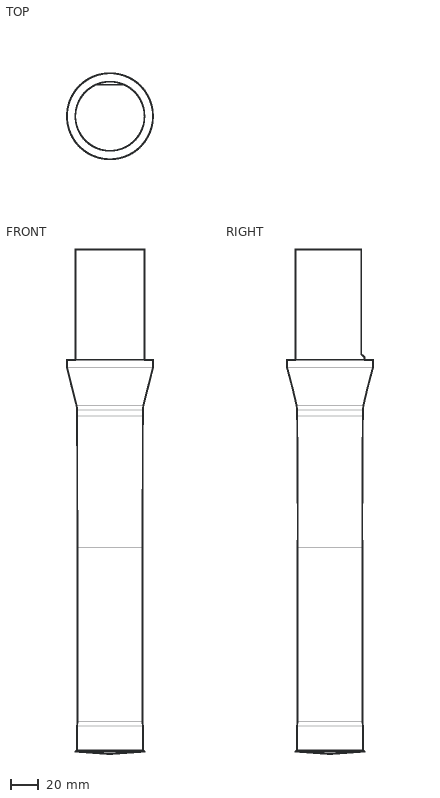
import cadquery as cq

total_length = 366.0
shank_length = 80.0
flange_height = 5.5
cone_height = 29.0
neck_height = 6.2
taper_end_height = 150.0
land_taper_top = 23.8
land_top = 20.5

shank_diameter = 50.0
flange_diameter = 62.5
body_diameter = 48.0
relief_diameter = 47.2

flat_offset = 22.7
flat_start = 4.0
ramp_rise = 2.2

tip_diameter = 50.0
tip_height = 3.0
tip_edge_height = 2.0

cone_fillet = 13.5

flange_top = total_length - shank_length
flange_bottom = flange_top - flange_height
neck_top = flange_bottom - cone_height
relief_top = neck_top - neck_height
shank_radius = shank_diameter / 2
flange_radius = flange_diameter / 2
body_radius = body_diameter / 2
relief_radius = relief_diameter / 2
tip_radius = tip_diameter / 2


def revolve_outline(points):
    """Revolve a closed radius-height outline about the Z axis."""
    return cq.Workplane("XZ").polyline(points).close().revolve(360, (0, 0, 0), (0, 1, 0))


def shank_flat_cutter():
    """Material beyond the shank flat, with a ramp at its lower end."""
    outside = shank_radius + ramp_rise
    ramp_top = flange_top + flat_start
    ramp_bottom = ramp_top - ramp_rise
    outline = [
        (flat_offset, total_length),
        (flat_offset, ramp_top),
        (shank_radius, ramp_bottom),
        (outside, ramp_bottom),
        (outside, total_length),
    ]
    return cq.Workplane("YZ").polyline(outline).close().extrude(shank_radius, both=True)


def make_holder():
    """Shank, flange, cone and slightly relieved long body."""
    holder = revolve_outline([
        (0, tip_height),
        (body_radius, tip_height),
        (body_radius, land_top),
        (relief_radius, land_taper_top),
        (relief_radius, taper_end_height),
        (body_radius, relief_top),
        (body_radius, neck_top),
        (flange_radius, flange_bottom),
        (flange_radius, flange_top),
        (shank_radius, flange_top),
        (shank_radius, total_length),
        (0, total_length),
    ])
    half_neck = neck_height / 2
    cone_foot = cq.selectors.BoxSelector(
        (-flange_radius, -flange_radius, neck_top - half_neck),
        (flange_radius, flange_radius, neck_top + half_neck),
        boundingbox=True,
    )
    holder = holder.edges(cone_foot).fillet(cone_fillet)
    return holder.cut(shank_flat_cutter()).solids()


def make_cutting_tip():
    """Shallow pointed disc with a projecting rim below the holder."""
    return revolve_outline([
        (0, 0),
        (tip_radius, tip_edge_height),
        (body_radius, tip_height),
        (0, tip_height),
    ])


holder = make_holder()
cutting_tip = make_cutting_tip()

result = cq.Compound.makeCompound([holder.val(), cutting_tip.val()])